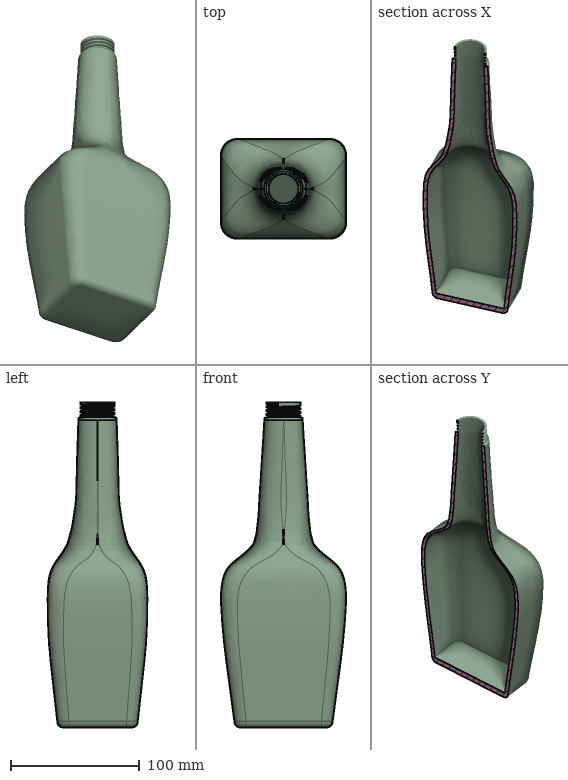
import cadquery as cq
import math

height = 253.0
body_width = 97.56
body_depth = 77.73
base_width = 76.6
base_depth = 62.8
base_corner = 9.0
base_fillet = 5.0
foot_height = 5.2

bore_diameter = 23.0
finish_diameter = 23.33
thread_diameter = 26.77
collar_diameter = 30.0
collar_top = 241.0
collar_height = 2.0
collar_fillet = 1.2
collar_bottom = collar_top - collar_height

thread_pitch = 3.0
groove_turns = 4.2
groove_floor = 1.0
groove_mouth = 2.1
groove_clearance = 0.3
lip_thickness = 0.6

wall = (collar_diameter - bore_diameter) / 2

key_sections = [
    (foot_height, base_width, base_depth, base_corner),
    (84.0, 95.8, 77.4, 12.0),
    (102.0, body_width, body_depth, 13.0),
    (115.5, 94.2, 75.8, 15.0),
    (125.0, 85.0, 69.4, 18.0),
    (134.0, 64.2, 57.4, 23.0),
    (142.5, 47.0, 47.0, 22.5),
    (157.0, 40.2, 39.2, 19.2),
    (180.0, 37.5, 33.4, 16.4),
    (212.0, 33.2, 31.8, 15.6),
    (collar_bottom, collar_diameter, collar_diameter, 14.8),
]
section_spacing = 8.0


def slope_at(index, column):
    """Rate of change of one section value at a key section, without overshoot."""
    last = len(key_sections) - 1
    rates = []
    for low in (max(index - 1, 0), min(index, last - 1)):
        lower, upper = key_sections[low], key_sections[low + 1]
        rates.append((upper[column] - lower[column]) / (upper[0] - lower[0]))
    before, after = rates
    if before * after <= 0:
        return 0.0
    return 2 * before * after / (before + after)


def blended(index, share, column):
    """Section value part of the way from one key section to the next (cubic Hermite)."""
    lower, upper = key_sections[index], key_sections[index + 1]
    span = upper[0] - lower[0]
    ease = share * share * (3 - 2 * share)
    start_pull = share * (1 - share) ** 2 * span * slope_at(index, column)
    end_pull = share * share * (share - 1) * span * slope_at(index + 1, column)
    return lower[column] + ease * (upper[column] - lower[column]) + start_pull + end_pull


def smooth_sections():
    """Closely spaced sections that pass smoothly through the key sections."""
    sections = []
    for index in range(len(key_sections) - 1):
        bottom, top = key_sections[index][0], key_sections[index + 1][0]
        steps = math.ceil((top - bottom) / section_spacing)
        for step in range(steps):
            share = step / steps
            sizes = [blended(index, share, column) for column in (1, 2, 3)]
            sections.append((bottom + share * (top - bottom), *sizes))
    return sections + [key_sections[-1]]


def rounded_rectangle(z, size_x, size_y, corner):
    """Closed wire of a rectangle with round corners, centred on the bottle axis."""
    half_x, half_y = size_x / 2, size_y / 2
    flat_x, flat_y = half_x - corner, half_y - corner
    diagonal = corner * math.sqrt(0.5)
    mid_x, mid_y = flat_x + diagonal, flat_y + diagonal
    return (
        cq.Workplane("XY", origin=(0, 0, z))
        .moveTo(-flat_x, -half_y)
        .lineTo(flat_x, -half_y)
        .threePointArc((mid_x, -mid_y), (half_x, -flat_y))
        .lineTo(half_x, flat_y)
        .threePointArc((mid_x, mid_y), (flat_x, half_y))
        .lineTo(-flat_x, half_y)
        .threePointArc((-mid_x, mid_y), (-half_x, flat_y))
        .lineTo(-half_x, -flat_y)
        .threePointArc((-mid_x, -mid_y), (-flat_x, -half_y))
        .close()
        .val()
    )


def cylinder(diameter, bottom, top):
    return cq.Workplane("XY", origin=(0, 0, bottom)).circle(diameter / 2).extrude(top - bottom)


def lofted(inset):
    """Smooth body through all sections, every side moved inward by inset."""
    wires = []
    for z, size_x, size_y, corner in smooth_sections():
        wires.append(rounded_rectangle(z, size_x - 2 * inset, size_y - 2 * inset, corner - inset))
    return cq.Workplane(cq.Solid.makeLoft(wires, False))


def foot():
    """Base of the bottle, rounded all the way round its lower edge."""
    outline = rounded_rectangle(0, base_width, base_depth, base_corner)
    block = cq.Workplane(cq.Solid.extrudeLinear(outline, [], cq.Vector(0, 0, foot_height)))
    return block.faces("<Z").edges().fillet(base_fillet)


def collar():
    """Short ring with a rounded top edge below the threaded finish."""
    ring = cylinder(collar_diameter, collar_bottom, collar_top)
    return ring.faces(">Z").edges().fillet(collar_fillet)


def thread_groove():
    """Right-handed trapezoidal groove from the collar up to just below the lip."""
    rise = thread_pitch * groove_turns
    top_end = height - lip_thickness - groove_mouth / 2
    floor_radius = finish_diameter / 2
    thread_depth = thread_diameter / 2 - floor_radius
    flank_spread = (groove_mouth - groove_floor) / 2 / thread_depth
    outer_radius = thread_diameter / 2 + groove_clearance
    outer_half = groove_mouth / 2 + flank_spread * groove_clearance
    profile = (
        cq.Workplane("XZ")
        .moveTo(floor_radius, -groove_floor / 2)
        .lineTo(outer_radius, -outer_half)
        .lineTo(outer_radius, outer_half)
        .lineTo(floor_radius, groove_floor / 2)
        .close()
    )
    path = cq.Wire.makeHelix(thread_pitch, rise, floor_radius)
    coil = profile.sweep(path, isFrenet=True)
    return coil.rotate((0, 0, 0), (0, 0, 1), 180).translate((0, 0, top_end - rise))


def threaded_finish():
    """Mouth of the bottle; the groove runs out inside the collar."""
    return cylinder(thread_diameter, collar_bottom, height).cut(thread_groove())


glass = lofted(0).cut(lofted(wall)).union(foot()).union(collar()).union(threaded_finish())
result = glass.cut(cylinder(bore_diameter, collar_bottom, height))